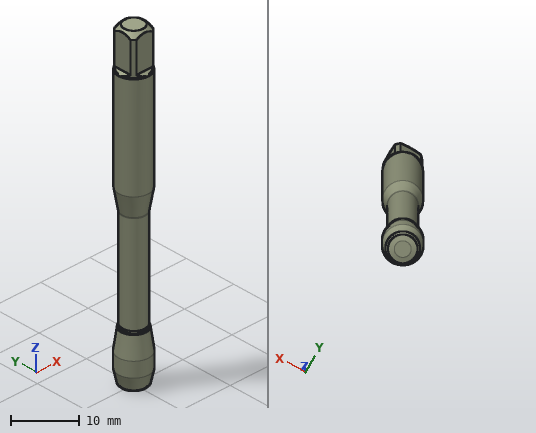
import cadquery as cq
import math

total_length = 62.1
shank_diameter = 6.0

head_diameter = 6.15
head_tip_diameter = 2.5
head_nose_diameter = 4.35
head_nose_rim_diameter = 5.1
head_shoulder_diameter = 4.95
head_collar_diameter = 4.7
head_nose_z = 0.2
head_nose_rim_z = 0.55
head_band_bottom_z = 3.0
head_band_top_z = 5.9
head_shoulder_z = 10.05
head_collar_z = 10.25
head_top_z = 10.6

neck_diameter = 4.6
neck_top_z = 30.0
taper_bottom_diameter = 4.65
taper_bottom_z = 30.2
shank_bottom_z = 34.15
shank_top_z = 54.4
shoulder_top_z = 54.6

drive_diameter = 5.8
drive_tip_diameter = 3.8
drive_across_flats = 4.65
flat_bottom_z = 55.1
runout_angle = 47.0


def revolve_profile(stations):
    """Turn a list of (diameter, z) stations into a solid about the Z axis."""
    outline = [(diameter / 2, z) for diameter, z in stations]
    bottom_z = stations[0][1]
    top_z = stations[-1][1]
    return (
        cq.Workplane("XZ")
        .polyline([(0, bottom_z), *outline, (0, top_z)])
        .close()
        .revolve(360, (0, 0), (0, 1))
    )


def make_flat_cutter():
    """Material removed from the +X side for one flat, with a sloped run-out at its lower end."""
    flat_offset = drive_across_flats / 2
    outer_offset = shank_diameter
    runout_depth = (outer_offset - flat_offset) / math.tan(math.radians(runout_angle))
    return (
        cq.Workplane("XZ")
        .moveTo(flat_offset, flat_bottom_z)
        .lineTo(flat_offset, total_length)
        .lineTo(outer_offset, total_length)
        .lineTo(outer_offset, flat_bottom_z - runout_depth)
        .close()
        .extrude(shank_diameter, both=True)
    )


def make_head():
    """Barrel-shaped head with a tapered, blunt-coned nose and a chamfered upper end."""
    return revolve_profile([
        (head_tip_diameter, 0),
        (head_nose_diameter, head_nose_z),
        (head_nose_rim_diameter, head_nose_rim_z),
        (head_diameter, head_band_bottom_z),
        (head_diameter, head_band_top_z),
        (head_shoulder_diameter, head_shoulder_z),
        (head_collar_diameter, head_collar_z),
        (neck_diameter, head_top_z),
    ])


def make_shank():
    """Neck, tapered transition, shank and square drive, standing on the head."""
    tip_chamfer = (drive_diameter - drive_tip_diameter) / 2
    shank = revolve_profile([
        (neck_diameter, head_top_z),
        (neck_diameter, neck_top_z),
        (taper_bottom_diameter, taper_bottom_z),
        (shank_diameter, shank_bottom_z),
        (shank_diameter, shank_top_z),
        (drive_diameter, shoulder_top_z),
        (drive_diameter, total_length - tip_chamfer),
        (drive_tip_diameter, total_length),
    ])
    flat_cutter = make_flat_cutter()
    for angle in (0, 90, 180, 270):
        shank = shank.cut(flat_cutter.rotate((0, 0, 0), (0, 0, 1), angle))
    return shank


head = make_head()
shank = make_shank()
result = cq.Compound.makeCompound([head.val(), shank.val()])